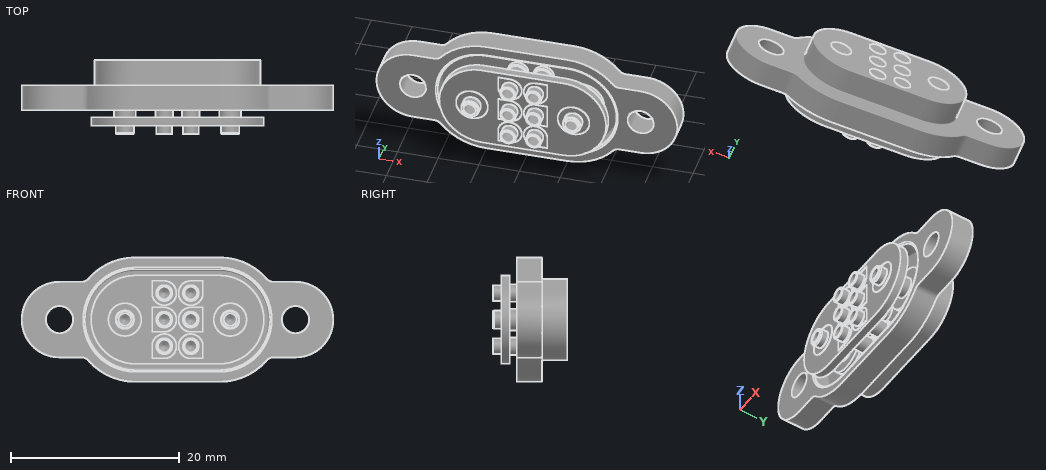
import cadquery as cq
import math


arc_center_x = 5.0
flange_radius = 7.4
flange_thickness = 3.0
hub_radius = 4.85
hub_height = 3.0
edge_round = 0.1
ear_hole_x = 14.0
ear_radius = 4.5
ear_hole_diameter = 3.2
neck_round = 1.0

cavity_radius = 6.0
cavity_depth = 2.0
cavity_rim_bevel_width = 0.2
cavity_rim_bevel_depth = 0.15
cavity_draft = 3.0
cavity_floor_round = 0.15
collar_height = 0.5
power_collar_diameter = 5.5
signal_collar_diameter = 2.5

board_radius = 5.25
board_thickness = 1.05
board_gap = 0.8

contact_tail = 1.0
cup_diameter = 1.5
cup_depth = 2.0
drill_tip_angle = 118.0
land_thickness = 0.05

signal_pitch = 3.15
signal_body_diameter = 2.1
signal_tail_diameter = 1.9
signal_tip_chamfer = 0.05
signal_land_diameter = 2.9

power_x = 6.25
power_body_diameter = 2.6
power_tail_diameter = 2.2
power_land_diameter = 3.9
power_tip_chamfer_length = 0.2
power_tip_chamfer_width = 0.1

flange_front_y = -flange_thickness
cavity_floor_y = flange_front_y + cavity_depth
collar_front_y = cavity_floor_y - collar_height
board_back_y = flange_front_y - board_gap
board_front_y = board_back_y - board_thickness
land_back_y = board_front_y + land_thickness
contact_tip_y = board_front_y - contact_tail

power_places = [(-power_x, 0), (power_x, 0)]
signal_columns = [-1, 1]
signal_rows = [-1, 0, 1]


def signal_place(column, row):
    """Two columns straddle the centre line, one pitch apart."""
    return column * signal_pitch / 2, row * signal_pitch


signal_places = [signal_place(column, row) for column in signal_columns for row in signal_rows]


def plane_at(y):
    """Sketch plane facing +Y: local x is -X, local y is Z."""
    return cq.Workplane(cq.Plane(origin=(0, y, 0), xDir=(-1, 0, 0), normal=(0, 1, 0)))


def stadium(radius, y_start, y_end, taper=0):
    """Slot-shaped block along X on the shared arc centres, narrowing by the taper angle."""
    length = 2 * (arc_center_x + radius)
    return plane_at(y_start).slot2D(length, 2 * radius).extrude(y_end - y_start, taper=taper)


def cylinder(place, diameter, y_start, y_end):
    x, z = place
    return plane_at(y_start).center(-x, z).circle(diameter / 2).extrude(y_end - y_start)


def make_flange():
    flange = stadium(flange_radius, flange_front_y, 0)
    ear_length = 2 * (ear_hole_x + ear_radius)
    ears = plane_at(flange_front_y).slot2D(ear_length, 2 * ear_radius).extrude(flange_thickness)
    flange = flange.union(ears)

    neck_x = arc_center_x + math.sqrt(flange_radius**2 - ear_radius**2)
    mid_y = flange_front_y / 2
    for side_x in (-neck_x, neck_x):
        for side_z in (-ear_radius, ear_radius):
            corner = cq.selectors.NearestToPointSelector((side_x, mid_y, side_z))
            flange = flange.edges("|Y").edges(corner).fillet(neck_round)
    return flange.faces(">Y").edges().fillet(edge_round)


def add_contact_seat(housing, place, collar_diameter, bore_diameter):
    collar = cylinder(place, collar_diameter, collar_front_y, cavity_floor_y)
    bore = cylinder(place, bore_diameter, collar_front_y, hub_height)
    return housing.union(collar).cut(bore)


def make_housing():
    housing = make_flange().union(stadium(hub_radius, flange_front_y, hub_height))
    housing = housing.faces(">Y").edges().fillet(edge_round)
    hub_length = 2 * (arc_center_x + hub_radius)
    root = cq.selectors.BoxSelector(
        (-hub_length / 2, -edge_round / 2, -hub_radius - edge_round),
        (hub_length / 2, edge_round / 2, hub_radius + edge_round),
    )
    housing = housing.edges(root).fillet(edge_round)

    cavity = stadium(cavity_radius, flange_front_y, cavity_floor_y, cavity_draft)
    cavity = cavity.faces(">Y").edges().fillet(cavity_floor_round)
    bevel_radius = cavity_radius + cavity_rim_bevel_width
    bevel_back_y = flange_front_y + cavity_rim_bevel_depth
    bevel_angle = math.degrees(math.atan2(cavity_rim_bevel_width, cavity_rim_bevel_depth))
    bevel = stadium(bevel_radius, flange_front_y, bevel_back_y, bevel_angle)
    housing = housing.cut(cavity).cut(bevel)

    for place in power_places:
        housing = add_contact_seat(housing, place, power_collar_diameter, power_body_diameter)
    for place in signal_places:
        housing = add_contact_seat(housing, place, signal_collar_diameter, signal_body_diameter)

    for x in (-ear_hole_x, ear_hole_x):
        housing = housing.cut(cylinder((x, 0), ear_hole_diameter, flange_front_y, 0))
    return housing


def make_board():
    """Board with through holes for the tails and shallow recesses for the lands."""
    board = stadium(board_radius, board_front_y, board_back_y)
    for place in power_places:
        board = board.cut(cylinder(place, power_tail_diameter, board_front_y, board_back_y))
        board = board.cut(power_land(place))
    for column in signal_columns:
        for row in signal_rows:
            place = signal_place(column, row)
            board = board.cut(cylinder(place, signal_tail_diameter, board_front_y, board_back_y))
            board = board.cut(signal_land(column, row))
    return board


def power_land(place):
    return cylinder(place, power_land_diameter, board_front_y, land_back_y)


def signal_land(column, row):
    """Round land squared off at its outer corners; the middle row has both corners squared."""
    x, z = signal_place(column, row)
    land = cylinder((x, z), signal_land_diameter, board_front_y, land_back_y)
    half = signal_land_diameter / 2
    mid_y = (board_front_y + land_back_y) / 2
    square_sides = [row] if row else [-1, 1]
    for side in square_sides:
        corner = cq.Workplane("XY").box(half, land_thickness, half)
        land = land.union(corner.translate((x + column * half / 2, mid_y, z + side * half / 2)))
    return land


def hollow_cup(contact, place):
    """Drill the solder cup, with a conical bottom, into the contact tip."""
    x, z = place
    radius = cup_diameter / 2
    tip = radius / math.tan(math.radians(drill_tip_angle / 2))
    profile = [(0, 0), (radius, 0), (radius, cup_depth), (0, cup_depth + tip)]
    drill = cq.Workplane("XY").polyline(profile).close().revolve(360, (0, 0), (0, 1))
    return contact.cut(drill.translate((x, contact_tip_y, z)))


def make_signal_contact(column, row):
    place = signal_place(column, row)
    tail = cylinder(place, signal_tail_diameter, contact_tip_y, board_back_y)
    tail = tail.faces("<Y").edges().chamfer(signal_tip_chamfer)
    contact = cylinder(place, signal_body_diameter, board_back_y, hub_height).union(tail)
    return hollow_cup(contact.union(signal_land(column, row)), place)


def make_power_contact(place):
    tail = cylinder(place, power_tail_diameter, contact_tip_y, board_back_y)
    tail = tail.faces("<Y").edges().chamfer(power_tip_chamfer_length, power_tip_chamfer_width)
    contact = cylinder(place, power_body_diameter, board_back_y, hub_height).union(tail)
    return hollow_cup(contact.union(power_land(place)), place)


signal_contacts = [make_signal_contact(column, row) for column in signal_columns for row in signal_rows]
power_contacts = [make_power_contact(place) for place in power_places]
contacts = [contact.val() for contact in signal_contacts + power_contacts]

housing = make_housing()
board = make_board()

result = cq.Compound.makeCompound([housing.val(), board.val(), *contacts])